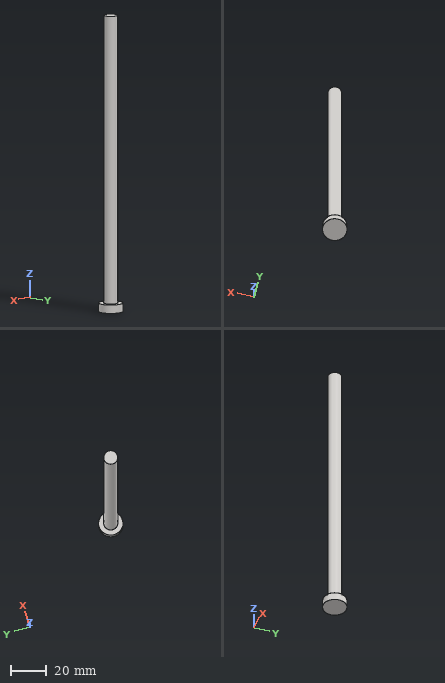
import cadquery as cq

total_length = 170.0
head_diameter = 14.0
head_height = 5.0
shaft_diameter = 8.0
shaft_length = total_length - head_height

head = cq.Workplane("XY").circle(head_diameter / 2).extrude(head_height)
shaft = (
    cq.Workplane("XY")
    .workplane(offset=head_height)
    .circle(shaft_diameter / 2)
    .extrude(shaft_length)
)

result = head.union(shaft)